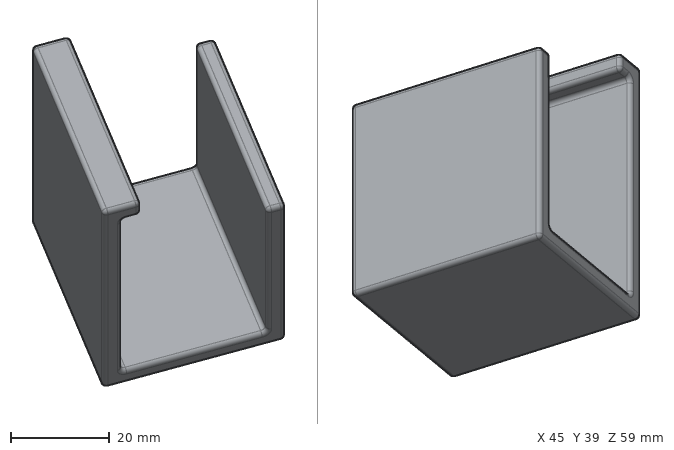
import cadquery as cq

width = 45.0
depth = 39.0
height = 59.0

thickness = 4.0
back_wall_height = 45.0
lip_depth = 2 * thickness
edge_radius = 1.0

front = -depth / 2
back = depth / 2

outline = [
    (front, 0),
    (back, 0),
    (back, back_wall_height),
    (back - thickness, back_wall_height),
    (back - thickness, thickness),
    (front + thickness, thickness),
    (front + thickness, height - thickness),
    (front + lip_depth, height - thickness),
    (front + lip_depth, height),
    (front, height),
]

channel = cq.Workplane("YZ").polyline(outline).close().extrude(width / 2, both=True)

rounded_section = channel.edges("|X").fillet(edge_radius)

result = rounded_section.faces("<X or >X").edges().fillet(edge_radius)